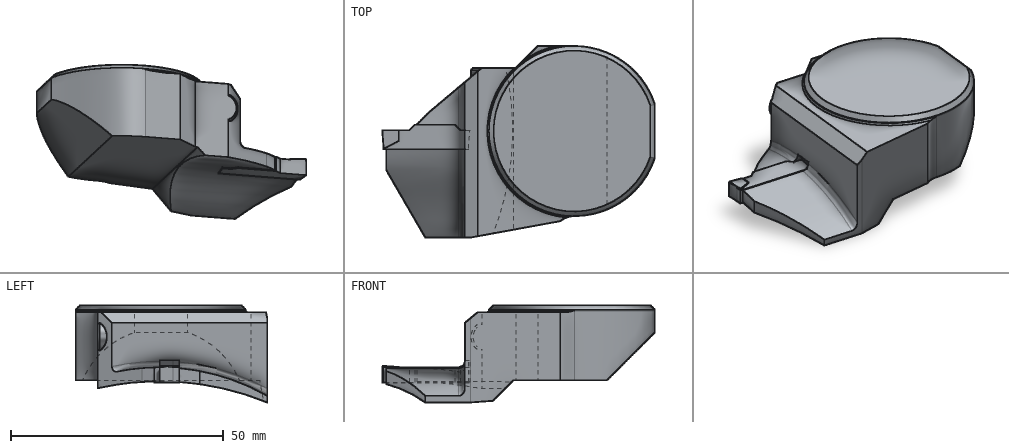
import cadquery as cq
import math


disc_radius = 20.0
disc_flat_x = 19.0
disc_chamfer = 1.1
shelf_z = -1.69
disc_root_fillet = 0.4

wall_x = -25.67
front_y = -25.05
wall_front_x = -24.4
front_step_x = -3.24
front_step_y = -21.18
back_face_y = 14.81
back_corner_x = -21.7
back_rise_x = -8.55
wall_chamfer_x = 3.0
wall_chamfer_z = 2.5
flat_bottom_z = -17.7
foot_slope_x = -14.25
end_slope_height = 11.3
bottom_z = -22.92

blade_tip_x = -44.15
blade_corner_y = -9.12
blade_front_x = -34.93
blade_bend_y = 4.47
blade_edge_angle = 40.0
blade_axis_y = 0.2
blade_lower_radius = 66.5
blade_upper_radius = 51.0
blade_crest_z = -14.65
wall_fillet = 1.5

boss_x = -20.6
boss_z = -7.45
boss_radius = 3.66
boss_length = 6.0
boss_chamfer = 0.5

insert_tip_x = -45.1
insert_back_y = 0.2
insert_front_y = -4.3
insert_shoulder_y = 1.5
insert_neck_x = -38.7
insert_heel_x = -26.7
tail_back_x = -24.55
tail_bend = (-24.8, -2.76)
tail_front_x = -24.85
insert_top_z = -14.67
insert_bottom_z = -18.2
seat_top_z = -12.95
edge_bend = (-44.85, -2.76)
edge_front_x = -44.8
rake_end_x = -41.2
rake_corner_y = -2.35
rake_front = (-44.6, -4.1)
rake_end_height = 0.15
rake_tip_height = 0.4
rake_edge_setback = 0.2

deep_z = bottom_z - 5.0
span = 150.0

disc_base_z = shelf_z + disc_root_fillet
blade_bend_x = back_corner_x - (back_face_y - blade_bend_y) / math.tan(math.radians(blade_edge_angle))
lower_reach = blade_axis_y - front_y
lower_axis_z = bottom_z - math.sqrt(blade_lower_radius**2 - lower_reach**2)
upper_axis_z = blade_crest_z - blade_upper_radius


def along_x_cylinder(radius, axis_z):
    """Long cylinder parallel to X that shapes one curved side of the blade."""
    base = cq.Workplane("YZ", origin=(-span / 2, 0, 0)).center(blade_axis_y, axis_z)
    return base.circle(radius).extrude(span)


def prism(points, low_z, high_z):
    """Vertical prism on a polygon in plan."""
    return cq.Workplane("XY").workplane(offset=low_z).polyline(points).close().extrude(high_z - low_z)


def side_profile(points):
    """Polygon in the XZ plane, extruded through the whole width."""
    return cq.Workplane("XZ").polyline(points).close().extrude(span / 2, both=True)


def make_disc():
    """Disc with a flat on its +X side, chamfered all round the top."""
    disc = cq.Workplane("XY").workplane(offset=disc_base_z).circle(disc_radius).extrude(-disc_base_z)
    disc = disc.faces(">Z").edges().chamfer(disc_chamfer)
    flat_side = side_profile([
        (-span, disc_base_z),
        (disc_flat_x, disc_base_z),
        (disc_flat_x, -disc_chamfer),
        (disc_flat_x - disc_chamfer, 0),
        (-span, 0),
    ])
    return disc.intersect(flat_side)


def body_plan():
    """Plan outline of the holder body behind the wall."""
    flat_half = math.sqrt(disc_radius**2 - disc_flat_x**2)
    diagonal = math.sqrt(0.5) * disc_radius
    step_rise = -disc_radius - front_step_y
    blend_radius = (front_step_x**2 + step_rise**2) / (2 * step_rise)
    blend_mid_x = front_step_x / 2
    blend_drop = blend_radius - math.sqrt(blend_radius**2 - blend_mid_x**2)
    back_rise = disc_radius - back_face_y
    wall_back_y = back_face_y - (back_corner_x - wall_x) * math.tan(math.radians(blade_edge_angle))
    return (
        cq.Workplane("XY").workplane(offset=deep_z)
        .moveTo(wall_x, front_y)
        .lineTo(wall_front_x, front_y)
        .lineTo(front_step_x, front_step_y)
        .threePointArc((blend_mid_x, -disc_radius - blend_drop), (0, -disc_radius))
        .threePointArc((diagonal, -diagonal), (disc_flat_x, -flat_half))
        .lineTo(disc_flat_x, flat_half)
        .threePointArc((diagonal, diagonal), (0, disc_radius))
        .lineTo(back_rise_x, disc_radius)
        .lineTo(back_rise_x - back_rise, back_face_y)
        .lineTo(back_corner_x, back_face_y)
        .lineTo(wall_x, wall_back_y)
        .close()
    )


def make_body():
    foot_end_x = foot_slope_x - (flat_bottom_z - deep_z)
    side = side_profile([
        (wall_x, deep_z),
        (foot_end_x, deep_z),
        (foot_slope_x, flat_bottom_z),
        (disc_flat_x - end_slope_height, flat_bottom_z),
        (disc_flat_x, flat_bottom_z + end_slope_height),
        (disc_flat_x, shelf_z),
        (wall_x + wall_chamfer_x, shelf_z),
        (wall_x, shelf_z - wall_chamfer_z),
    ])
    return body_plan().extrude(shelf_z - deep_z).intersect(side)


def make_disc_root():
    """Layer under the disc, flaring out to the shelf, kept within the body outline."""
    bend = disc_root_fillet * (1 - math.sqrt(0.5))
    ring = (
        cq.Workplane("XZ")
        .moveTo(0, shelf_z)
        .lineTo(disc_radius + disc_root_fillet, shelf_z)
        .threePointArc((disc_radius + bend, shelf_z + bend), (disc_radius, disc_base_z))
        .lineTo(0, disc_base_z)
        .close()
        .revolve(360, (0, 0, 0), (0, 1, 0))
    )
    return ring.intersect(body_plan().extrude(-deep_z))


def blade_plan():
    bend_run = blade_bend_y - insert_back_y
    return [
        (wall_front_x, front_y),
        (blade_front_x, front_y),
        (blade_tip_x, blade_corner_y),
        (blade_tip_x, insert_back_y),
        (blade_bend_x - bend_run, insert_back_y),
        (blade_bend_x, blade_bend_y),
        (back_corner_x, back_face_y),
    ]


def make_blade():
    """Blade under the upper curve, with a concave fillet up to the wall."""
    plan = prism(blade_plan(), deep_z, shelf_z)
    blade = plan.intersect(along_x_cylinder(blade_upper_radius, upper_axis_z))
    bend = wall_fillet * (1 - math.sqrt(0.5))
    fillet_ring = (
        cq.Workplane("XY", origin=(0, blade_axis_y, upper_axis_z))
        .moveTo(wall_x - wall_fillet, 0)
        .lineTo(wall_x - wall_fillet, blade_upper_radius)
        .threePointArc((wall_x - bend, blade_upper_radius + bend), (wall_x, blade_upper_radius + wall_fillet))
        .lineTo(wall_x, 0)
        .close()
        .revolve(360, (0, 0, 0), (1, 0, 0))
    )
    return blade.union(plan.intersect(fillet_ring))


def make_boss():
    boss = cq.Workplane("XZ", origin=(boss_x, back_face_y, boss_z)).circle(boss_radius).extrude(boss_length)
    return boss.faces(">Y").edges().chamfer(boss_chamfer)


def insert_plan():
    shoulder = insert_shoulder_y - insert_back_y
    return [
        (insert_tip_x, insert_back_y),
        edge_bend,
        (edge_front_x, insert_front_y),
        (tail_front_x, insert_front_y),
        tail_bend,
        (tail_back_x, insert_back_y),
        (insert_heel_x, insert_back_y),
        (insert_heel_x - shoulder, insert_shoulder_y),
        (insert_neck_x + shoulder, insert_shoulder_y),
        (insert_neck_x, insert_back_y),
    ]


def make_holder():
    holder = make_body().union(make_disc_root()).union(make_disc()).union(make_blade()).union(make_boss())
    holder = holder.cut(along_x_cylinder(blade_lower_radius, lower_axis_z))
    return holder.cut(prism(insert_plan(), deep_z, seat_top_z))


def make_insert():
    bar = prism(insert_plan(), insert_bottom_z, insert_top_z)
    pad_plan = [
        (insert_tip_x, insert_back_y),
        edge_bend,
        rake_front,
        (rake_end_x, rake_corner_y),
        (rake_end_x, insert_back_y),
    ]
    rake_slope = side_profile([
        (insert_tip_x, insert_top_z),
        (insert_tip_x + rake_edge_setback, insert_top_z + rake_tip_height),
        (rake_end_x, insert_top_z + rake_end_height),
        (rake_end_x, insert_top_z),
    ])
    pad = prism(pad_plan, insert_top_z, shelf_z).intersect(rake_slope)
    return bar.union(pad)


holder = make_holder()
insert = make_insert()
result = cq.Compound.makeCompound([holder.solids().val(), insert.solids().val()])